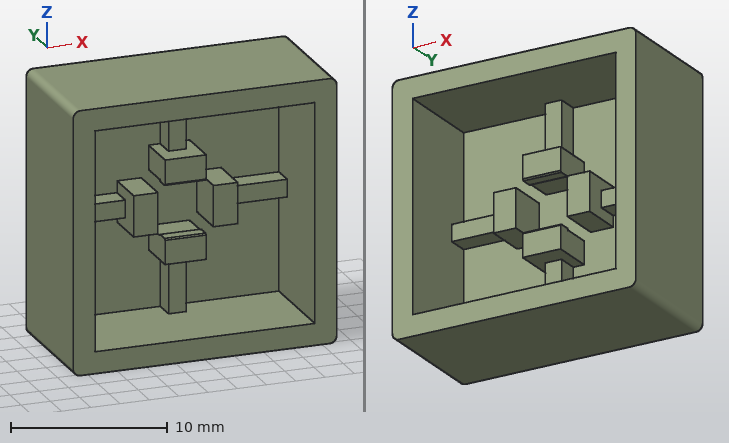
import cadquery as cq

side = 18.0
depth = 8.5
corner_radius = 0.5
wall = 1.5
floor_thickness = 2.0

rib_width = 1.2
rib_height = 1.5
post_length = 2.8
post_inner = 1.9
post_outer = 3.55
post_height = 3.0

lip_projection = 0.1
lip_base_depth = 1.0

half_cavity = side / 2 - wall
front = -depth / 2
floor = depth / 2 - floor_thickness
post_front = floor - post_height
rib_front = floor - rib_height


def make_block(width, y_range, z_range):
    """Box centred on X = 0 that spans the (low, high) ranges along Y and Z."""
    y_low, y_high = y_range
    z_low, z_high = z_range
    block = cq.Workplane("XY").box(width, y_high - y_low, z_high - z_low)
    return block.translate((0, (y_low + y_high) / 2, (z_low + z_high) / 2))


def make_shell():
    """Square body with rounded edges along Y, hollowed from its -Y face."""
    body = cq.Workplane("XY").box(side, depth, side).edges("|Y").fillet(corner_radius)
    cavity = make_block(2 * half_cavity, (front, floor), (-half_cavity, half_cavity))
    return body.cut(cavity)


def make_ribbed_post():
    """Post above the centre (+Z side) with the rib that ties it to the upper wall."""
    post = make_block(post_length, (post_front, floor), (post_inner, post_outer))
    rib = make_block(rib_width, (rib_front, floor), (post_outer, half_cavity))
    return post.union(rib)


def make_lip():
    """Ridge under the upper post: a trapezoid that starts at the post's front edge."""
    lip_back = post_front + lip_base_depth
    lip_crest = post_inner - lip_projection
    profile = (
        cq.Workplane("YZ")
        .moveTo(post_front, post_inner)
        .lineTo(post_front + lip_projection, lip_crest)
        .lineTo(lip_back - lip_projection, lip_crest)
        .lineTo(lip_back, post_inner)
        .close()
    )
    return profile.extrude(post_length / 2, both=True)


def turn_about_y(shape, angle):
    return shape.rotate((0, 0, 0), (0, 1, 0), angle)


result = make_shell()
for angle in (0, 90, 180, 270):
    result = result.union(turn_about_y(make_ribbed_post(), angle))
for angle in (0, 180):
    result = result.union(turn_about_y(make_lip(), angle))